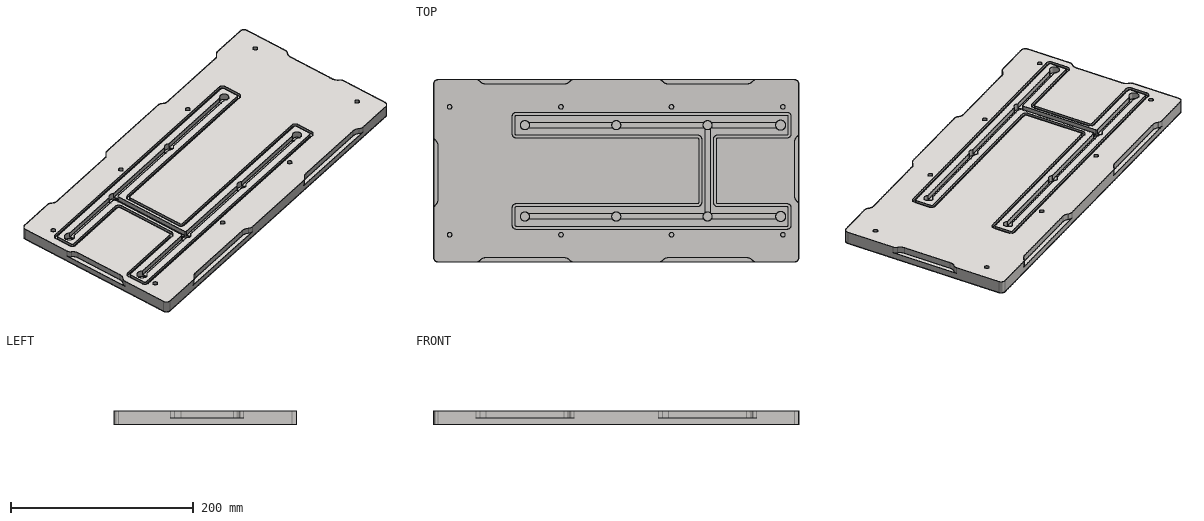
import cadquery as cq
import math

LENGTH = 400.0
WIDTH = 200.0
THICKNESS = 15.0
CORNER_RADIUS = 5.0

RECESS_DEPTH = 7.5
RECESS_INSET = 5.0
RECESS_LIP_RADIUS = 6.0
RECESS_ROOT_RADIUS = 9.0
LONG_RECESS_SPAN = 107.5
SHORT_RECESS_SPAN = 80.0
LONG_RECESS_OFFSET = 100.0
SHORT_RECESS_OFFSET = 2.0

SCREW_DIAMETER = 5.04
SCREW_DEPTH = 10.0
SCREW_X = (60.5, 182.5)
SCREW_Y = 70.0

ROW_Y = 50.0
PORT_PITCH = 100.0
CROSS_X = PORT_PITCH
END_PORT_X = 180.0
PORT_DIAMETER = 10.0
END_PORT_DIAMETER = 11.0
PORT_DEPTH = 8.0
CHANNEL_WIDTH = 6.0
CHANNEL_DEPTH = 6.0

GROOVE_WIDTH = 3.25
GROOVE_DEPTH = 3.5
GROOVE_CORNER_RADIUS = 1.2
GROOVE_BEND_RADIUS = 1.75
GROOVE_ROW_HALF = 10.75
GROOVE_LEFT = -PORT_PITCH - GROOVE_ROW_HALF
GROOVE_END_CLEARANCE = 8.25
GROOVE_RIGHT = END_PORT_X + GROOVE_END_CLEARANCE
GROOVE_CROSS_HALF = 6.25
BEND_SEARCH_MARGIN = 1.0


def plate():
    """Flat plate with its bottom on Z = 0 and rounded vertical corners."""
    body = cq.Workplane("XY").box(LENGTH, WIDTH, THICKNESS, centered=(True, True, False))
    return body.edges("|Z").fillet(CORNER_RADIUS)


def pocket(outline, depth):
    """Extrude a closed outline down from the top face by the given depth."""
    return outline.extrude(-depth)


def top_plane():
    """Workplane on the top face of the plate, centred on the plate."""
    return cq.Workplane("XY", origin=(0, 0, THICKNESS))


def edge_recess(span, along, edge_distance, angle):
    """Cutter for a recess with S-shaped ends: built at the -Y edge, then turned about Z by angle."""
    turn = math.acos(1 - RECESS_INSET / (RECESS_LIP_RADIUS + RECESS_ROOT_RADIUS))
    half_span = span / 2
    edge = -edge_distance
    floor = edge + RECESS_INSET
    inflection = half_span - RECESS_LIP_RADIUS * math.sin(turn)
    inflection_y = edge + RECESS_LIP_RADIUS * (1 - math.cos(turn))
    inner = inflection - RECESS_ROOT_RADIUS * math.sin(turn)
    lip_mid_x = half_span - RECESS_LIP_RADIUS * math.sin(turn / 2)
    lip_mid_y = edge + RECESS_LIP_RADIUS * (1 - math.cos(turn / 2))
    root_mid_x = inner + RECESS_ROOT_RADIUS * math.sin(turn / 2)
    root_mid_y = floor - RECESS_ROOT_RADIUS * (1 - math.cos(turn / 2))
    outline = (
        top_plane()
        .moveTo(-half_span, edge)
        .threePointArc((-lip_mid_x, lip_mid_y), (-inflection, inflection_y))
        .threePointArc((-root_mid_x, root_mid_y), (-inner, floor))
        .lineTo(inner, floor)
        .threePointArc((root_mid_x, root_mid_y), (inflection, inflection_y))
        .threePointArc((lip_mid_x, lip_mid_y), (half_span, edge))
        .close()
    )
    cutter = pocket(outline, RECESS_DEPTH).translate((along, 0, 0))
    return cutter.rotate((0, 0, 0), (0, 0, 1), angle)


def cut_edge_recesses(body):
    """Two recesses on each long edge and one off-centre recess on each short edge."""
    for angle in (0, 180):
        for side in (-1, 1):
            body = body.cut(edge_recess(LONG_RECESS_SPAN, side * LONG_RECESS_OFFSET, WIDTH / 2, angle))
    for angle in (90, -90):
        body = body.cut(edge_recess(SHORT_RECESS_SPAN, SHORT_RECESS_OFFSET, LENGTH / 2, angle))
    return body


def cut_screw_holes(body):
    """Eight blind screw holes in two rows."""
    points = [(sx * x, sy * SCREW_Y) for x in SCREW_X for sx in (-1, 1) for sy in (-1, 1)]
    return body.cut(pocket(top_plane().pushPoints(points).circle(SCREW_DIAMETER / 2), SCREW_DEPTH))


def cut_channels(body):
    """Two long channels with round ports, joined by one cross channel."""
    row_length = END_PORT_X + PORT_PITCH
    row_middle = (END_PORT_X - PORT_PITCH) / 2
    for y in (-ROW_Y, ROW_Y):
        row = top_plane().center(row_middle, y).rect(row_length, CHANNEL_WIDTH)
        body = body.cut(pocket(row, CHANNEL_DEPTH))
        ports = top_plane().pushPoints([(x, y) for x in (-PORT_PITCH, 0, PORT_PITCH)])
        body = body.cut(pocket(ports.circle(PORT_DIAMETER / 2), PORT_DEPTH))
        end_port = top_plane().center(END_PORT_X, y).circle(END_PORT_DIAMETER / 2)
        body = body.cut(pocket(end_port, PORT_DEPTH))
    cross = top_plane().center(CROSS_X, 0).rect(CHANNEL_WIDTH, 2 * ROW_Y)
    return body.cut(pocket(cross, CHANNEL_DEPTH))


def groove_island(growth):
    """H-shaped block bounded by the groove's inner wall, grown outward by growth."""
    left = GROOVE_LEFT - growth
    right = GROOVE_RIGHT + growth
    row_half = GROOVE_ROW_HALF + growth
    cross_half = GROOVE_CROSS_HALF + growth
    row_width = right - left
    row_middle = (left + right) / 2
    rows = top_plane().pushPoints([(row_middle, -ROW_Y), (row_middle, ROW_Y)]).rect(row_width, 2 * row_half)
    cross = top_plane().center(CROSS_X, 0).rect(2 * cross_half, 2 * ROW_Y)
    block = pocket(rows, GROOVE_DEPTH).union(pocket(cross, GROOVE_DEPTH))
    bend_x = cross_half + BEND_SEARCH_MARGIN
    bend_y = ROW_Y - row_half + BEND_SEARCH_MARGIN
    bends = cq.selectors.BoxSelector(
        (CROSS_X - bend_x, -bend_y, 0),
        (CROSS_X + bend_x, bend_y, THICKNESS),
    )
    upright = cq.selectors.ParallelDirSelector(cq.Vector(0, 0, 1))
    corner_radius = GROOVE_CORNER_RADIUS + growth
    bend_radius = GROOVE_BEND_RADIUS + GROOVE_WIDTH - growth
    block = block.edges(upright - bends).fillet(corner_radius)
    return block.edges(bends).edges(upright).fillet(bend_radius)


def cut_seal_groove(body):
    """Closed groove left between the grown block and the block itself."""
    return body.cut(groove_island(GROOVE_WIDTH).cut(groove_island(0)))


result = plate()
result = cut_edge_recesses(result)
result = cut_screw_holes(result)
result = cut_channels(result)
result = cut_seal_groove(result)